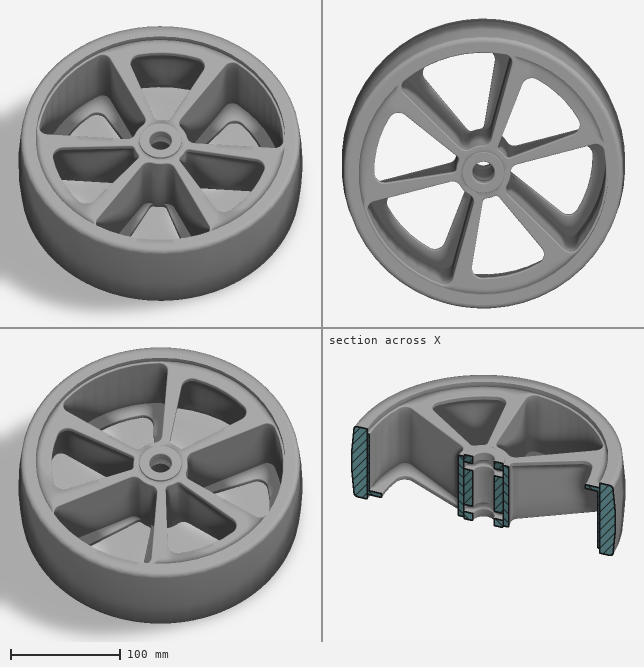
import cadquery as cq
import math

OUTER_RADIUS = 130.0
WIDTH = 80.0

TYRE_EDGE_RADIUS = 127.1
TYRE_SHOULDER_FILLET = 4.2
RIM_RADIUS = 114.1

RIM_RECESS = 5.5
RIM_WIDTH = WIDTH - 2 * RIM_RECESS
FLOOR_THICKNESS = 5.0
FLOOR_LEVEL = FLOOR_THICKNESS - RIM_WIDTH / 2
POCKET_COUNT = 6
POCKET_ANGLE = 360 / POCKET_COUNT
WALL_THICKNESS = 2.0
POCKET_OUTER_RADIUS = 112.0
POCKET_CORNER_RADIUS = 7.8
HUB_RADIUS = 25.0
EDGE_FILLET = 1.0

WINDOW_OUTER_RADIUS = 99.8
WINDOW_HALF_ANGLE = 24.2
WINDOW_APEX = 9.5
WINDOW_OUTER_CORNER = 9.5
WINDOW_INNER_CORNER = 4.0

HUB_BORE_RADIUS = 19.2
BUSHING_BORE_RADIUS = 10.1
BUSHING_LENGTH = 8.5
BUSHING_PROTRUSION = 2.0
BUSHING_MOUTH_FILLET = 1.0
BUSHING_EDGE_FILLET = 0.5
SLEEVE_GAP = 7.5
SLEEVE_BORE_RADIUS = 10.1

BUSHING_TOP = RIM_WIDTH / 2 + BUSHING_PROTRUSION
SLEEVE_LENGTH = 2 * (BUSHING_TOP - BUSHING_LENGTH - SLEEVE_GAP)


def make_ring(outer_radius, inner_radius, bottom, length):
    """Plain tube about the wheel axis."""
    return (
        cq.Workplane("XY")
        .workplane(offset=bottom)
        .circle(outer_radius)
        .circle(inner_radius)
        .extrude(length)
    )


def make_tyre():
    """Revolved band with a crowned tread and rounded shoulders."""
    half_width = WIDTH / 2
    tyre = (
        cq.Workplane("XZ")
        .moveTo(RIM_RADIUS, -half_width)
        .lineTo(TYRE_EDGE_RADIUS, -half_width)
        .threePointArc((OUTER_RADIUS, 0), (TYRE_EDGE_RADIUS, half_width))
        .lineTo(RIM_RADIUS, half_width)
        .close()
        .revolve(360, (0, 0, 0), (0, 1, 0))
    )
    shoulders = cq.selectors.RadiusNthSelector(-1)
    return tyre.faces("|Z").edges(shoulders).fillet(TYRE_SHOULDER_FILLET)


def sector_prism(apex, half_angle, outer_radius, bottom, height):
    """Ring sector about +X from the hub outwards, its sides meeting at x = apex."""

    def side_point(radius):
        slope = math.radians(half_angle)
        along = -apex * math.cos(slope) + math.sqrt(radius**2 - (apex * math.sin(slope)) ** 2)
        return apex + along * math.cos(slope), along * math.sin(slope)

    inner_x, inner_y = side_point(HUB_RADIUS)
    outer_x, outer_y = side_point(outer_radius)
    return (
        cq.Workplane("XY")
        .workplane(offset=bottom)
        .moveTo(inner_x, -inner_y)
        .lineTo(outer_x, -outer_y)
        .threePointArc((outer_radius, 0), (outer_x, outer_y))
        .lineTo(inner_x, inner_y)
        .threePointArc((HUB_RADIUS, 0), (inner_x, -inner_y))
        .close()
        .extrude(height)
    )


def round_corners(prism, inner_corner, outer_corner):
    """Round the upright edges next to the hub and those next to the rim's outside."""
    middle = (HUB_RADIUS + WINDOW_OUTER_RADIUS) / 2
    inner_box = cq.selectors.BoxSelector((0, -middle, -WIDTH), (middle, middle, WIDTH))
    outer_box = cq.selectors.BoxSelector(
        (middle, -OUTER_RADIUS, -WIDTH), (OUTER_RADIUS, OUTER_RADIUS, WIDTH)
    )
    rounded = prism.edges("|Z").edges(inner_box).fillet(inner_corner)
    return rounded.edges("|Z").edges(outer_box).fillet(outer_corner)


def make_pocket(bottom):
    """Pocket about +X, open at the top of the rim."""
    apex = WALL_THICKNESS / 2 / math.sin(math.radians(POCKET_ANGLE / 2))
    height = RIM_WIDTH / 2 - bottom
    prism = sector_prism(apex, POCKET_ANGLE / 2, POCKET_OUTER_RADIUS, bottom, height)
    return round_corners(prism, POCKET_CORNER_RADIUS, POCKET_CORNER_RADIUS)


def fillet_mouths(body, faces):
    """Fillet every edge of the inner outlines of the given faces."""
    wires = [wire for face in faces.vals() for wire in face.innerWires()]
    edges = [edge for wire in wires for edge in wire.Edges()]
    return body.newObject(edges).fillet(EDGE_FILLET)


def make_window():
    """Opening through the pocket floor about +X, flaring out to a slab above the floor."""
    prism = sector_prism(
        WINDOW_APEX, WINDOW_HALF_ANGLE, WINDOW_OUTER_RADIUS, -RIM_WIDTH / 2, FLOOR_THICKNESS
    )
    prism = round_corners(prism, WINDOW_INNER_CORNER, WINDOW_OUTER_CORNER)
    slab = cq.Workplane("XY").workplane(offset=FLOOR_LEVEL).circle(OUTER_RADIUS).extrude(EDGE_FILLET)
    window = prism.union(slab)
    return fillet_mouths(window, window.faces("|Z"))


def make_opening():
    """Pocket and window together; the flare stays inside the pocket's outline."""
    flared_window = make_window().intersect(make_pocket(-RIM_WIDTH / 2))
    return make_pocket(FLOOR_LEVEL).union(flared_window)


def make_rim():
    """Disc with six windowed pockets, three from each side, and the hub bore."""
    rim = cq.Workplane("XY").circle(RIM_RADIUS).extrude(RIM_WIDTH / 2, both=True)
    top_opening = make_opening()
    bottom_opening = top_opening.rotate((0, 0, 0), (1, 0, 0), 180)
    for index in range(POCKET_COUNT):
        opening = top_opening if index % 2 else bottom_opening
        rim = rim.cut(opening.rotate((0, 0, 0), (0, 0, 1), POCKET_ANGLE * (index + 0.5)))

    rim = fillet_mouths(rim, rim.faces("<Z or >Z"))
    bore = cq.Workplane("XY").circle(HUB_BORE_RADIUS).extrude(RIM_WIDTH / 2, both=True)
    return rim.cut(bore)


def make_bushing():
    """Upper bushing, standing slightly proud of the rim."""
    bushing = make_ring(
        HUB_BORE_RADIUS, BUSHING_BORE_RADIUS, BUSHING_TOP - BUSHING_LENGTH, BUSHING_LENGTH
    )
    mouth = cq.selectors.RadiusNthSelector(0)
    bushing = bushing.faces(">Z").edges(mouth).fillet(BUSHING_MOUTH_FILLET)
    outer_edge = cq.selectors.RadiusNthSelector(-1)
    return bushing.faces(">Z").edges(outer_edge).fillet(BUSHING_EDGE_FILLET)


tyre = make_tyre()
rim = make_rim()
bushings = [make_bushing().rotate((0, 0, 0), (1, 0, 0), turn) for turn in (0, 180)]
sleeve = make_ring(HUB_BORE_RADIUS, SLEEVE_BORE_RADIUS, -SLEEVE_LENGTH / 2, SLEEVE_LENGTH)

result = cq.Compound.makeCompound(
    [tyre.val(), rim.val(), *[bushing.val() for bushing in bushings], sleeve.val()]
)